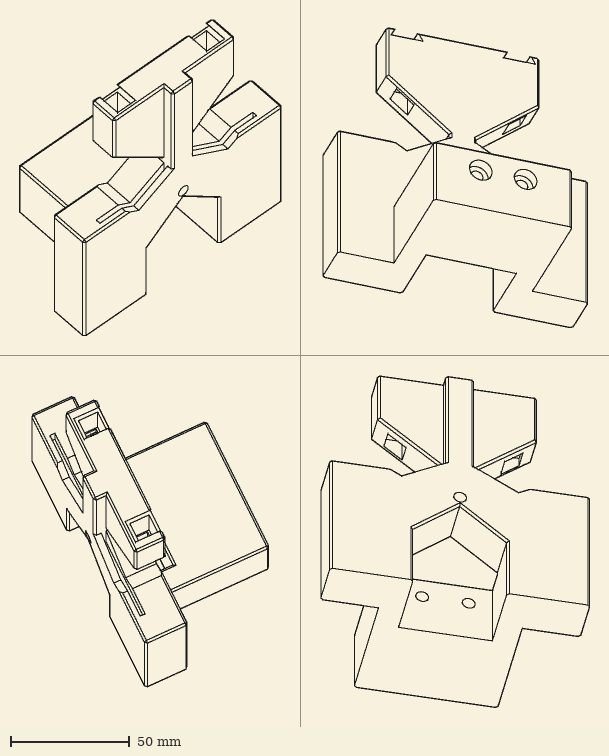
import cadquery as cq
import math

plate_thickness = 20.0
block_length = 50.1
plate_rear = block_length + plate_thickness
total_height = 121.0
edge_chamfer = 1.0

block_width = 62.0
block_height = 30.0
notch_length = 10.0
opening_width = 40.4
hole_diameter = 5.5
counterbore_diameter = 10.0
counterbore_depth = 5.0
screw_spacing = 20.1
screw_height = 19.7

base_width = 112.0
base_height = 62.9
opening_apex_height = 47.1
pivot_height = 51.5

groove_offset = 25.2
groove_bottom = 59.0
groove_slope = math.tan(math.radians(30))

head_width = 68.5
head_thickness = 14.4
neck_width = 12.1
shoulder_height = 95.6
neck_top = 72.5

slot_thickness = 2.3
slot_outer_end = 44.2
slot_floor = 54.5

socket_length = 12.2
socket_depth = 4.0
socket_top_width = 10.0
socket_floor_width = 14.3
well_size = 9.0
well_start = 1.3
outlet_size = 7.9
outlet_start = 2.3


def box(x_start, x_end, y_start, y_end, z_start, z_end):
    size = (x_end - x_start, y_end - y_start, z_end - z_start)
    return cq.Workplane("XY").box(*size, centered=False).translate((x_start, y_start, z_start))


def prism(points, x_start, x_end):
    """Extrude a closed (y, z) outline along X."""
    return cq.Workplane("YZ", origin=(x_start, 0, 0)).polyline(points).close().extrude(x_end - x_start)


def bore(diameter, y, z, x_start, x_end):
    return cq.Workplane("YZ", origin=(x_start, y, z)).circle(diameter / 2).extrude(x_end - x_start)


def mounting_block():
    half_opening = opening_width / 2
    notch_start = block_length - notch_length
    body = box(0, block_length, -block_width / 2, block_width / 2, 0, block_height)
    body = body.edges("(<X and |Z) or (>Z and (not >X))").chamfer(edge_chamfer)
    notch = box(notch_start, block_length, -half_opening, half_opening, 0, block_height)
    body = body.cut(notch)
    flare_length = notch_length + edge_chamfer
    flare = (
        cq.Workplane("XY", origin=(block_length, 0, block_height))
        .rect(2 * flare_length, opening_width + 2 * edge_chamfer)
        .extrude(-edge_chamfer, taper=45)
    )
    body = body.cut(flare)
    for y in (-screw_spacing / 2, screw_spacing / 2):
        body = body.cut(bore(hole_diameter, y, screw_height, 0, notch_start))
        body = body.cut(bore(counterbore_diameter, y, screw_height, 0, counterbore_depth))
    return body


def plate_base():
    half_width = base_width / 2
    body = box(block_length, plate_rear, -half_width, half_width, 0, base_height)
    body = body.edges("|Z or >Z").chamfer(edge_chamfer)
    gable_top = groove_bottom + groove_offset * groove_slope
    gable = prism(
        [(-groove_offset, groove_bottom), (0, gable_top), (groove_offset, groove_bottom)],
        block_length,
        plate_rear,
    )
    groove_outer = groove_offset + (total_height - groove_bottom) / groove_slope
    grooves = prism(
        [
            (-groove_outer, total_height),
            (-groove_offset, groove_bottom),
            (groove_offset, groove_bottom),
            (groove_outer, total_height),
        ],
        block_length,
        plate_rear,
    )
    return body.cut(grooves).union(gable)


def head():
    half_head = head_width / 2
    half_neck = neck_width / 2
    outline = [
        (-half_head, total_height),
        (half_head, total_height),
        (half_head, shoulder_height),
        (half_neck, neck_top),
        (half_neck, groove_bottom),
        (-half_neck, groove_bottom),
        (-half_neck, neck_top),
        (-half_head, shoulder_height),
    ]
    body = prism(outline, block_length, block_length + head_thickness)
    return body.edges("(<X or >X or >Z) and (not <Z)").chamfer(edge_chamfer)


def neck():
    half_neck = neck_width / 2
    strip = box(block_length, plate_rear, -half_neck, half_neck, groove_bottom, total_height)
    return strip.edges("(<X or >X or >Z) and (not <Z)").chamfer(edge_chamfer)


def square_shaft(start, size, y, bottom):
    """Vertical square shaft whose front wall lies `start` behind the plate face."""
    x = block_length + start
    return box(x, x + size, y - size / 2, y + size / 2, bottom, total_height - socket_depth)


def dovetail_socket(y):
    floor = total_height - socket_depth
    half_top = socket_top_width / 2
    half_floor = socket_floor_width / 2
    outline = [
        (y - half_floor, floor),
        (y + half_floor, floor),
        (y + half_top, total_height),
        (y - half_top, total_height),
    ]
    socket = prism(outline, block_length, block_length + socket_length)
    well = square_shaft(well_start, well_size, y, shoulder_height)
    outlet = square_shaft(outlet_start, outlet_size, y, base_height)
    return socket.union(well).union(outlet)


def side_slot(side):
    slot_start = block_length + head_thickness
    inner_end = side * neck_width / 2
    outer_end = side * slot_outer_end
    y_start = min(inner_end, outer_end)
    y_end = max(inner_end, outer_end)
    return box(slot_start, slot_start + slot_thickness, y_start, y_end, slot_floor, total_height)


def house_opening():
    """Opening through the foot of the plate with a pitched roof and a chamfered rear rim."""
    half = opening_width / 2
    outline = [
        (-half, 0),
        (half, 0),
        (half, block_height),
        (0, opening_apex_height),
        (-half, block_height),
    ]
    opening = prism(outline, block_length, plate_rear)
    rear_rim = (
        cq.Workplane("YZ", origin=(plate_rear, 0, 0))
        .polyline(outline)
        .close()
        .offset2D(edge_chamfer, "intersection")
        .extrude(-edge_chamfer, taper=45)
    )
    return opening.union(rear_rim)


result = plate_base().union(head()).union(neck()).union(mounting_block())
result = result.cut(house_opening())
result = result.cut(bore(hole_diameter, 0, pivot_height, block_length, plate_rear))
for side in (-1, 1):
    result = result.cut(dovetail_socket(side * groove_offset))
    result = result.cut(side_slot(side))